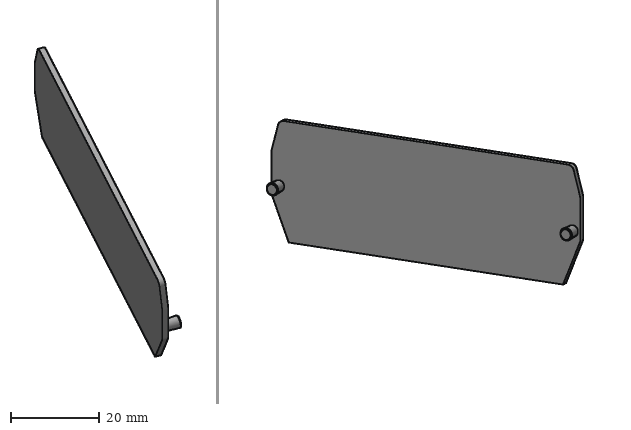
import cadquery as cq

plate_width = 79.3
plate_height = 28.58
plate_thickness = 1.5
bottom_width = 70.4
top_corner_span = 75.3
upper_slant_height = 7.45
lower_slant_height = 10.96
side_corner_radius = 2.0
top_corner_radius = 1.5

overall_depth = 4.9
pin_length = overall_depth - plate_thickness
pin_spacing = 75.4
pin_height = 13.1
pin_root_diameter = 2.7
pin_tip_diameter = 3.0
pin_tip_chamfer = 0.25


def make_plate():
    """Eight-sided plate with rounded side corners and rounded top corners."""
    upper_side_z = plate_height - upper_slant_height
    right_half = [
        (bottom_width / 2, 0),
        (plate_width / 2, lower_slant_height),
        (plate_width / 2, upper_side_z),
        (top_corner_span / 2, plate_height),
    ]
    left_half = [(-x, z) for x, z in reversed(right_half)]
    plate = (
        cq.Workplane("XZ")
        .polyline(right_half + left_half)
        .close()
        .extrude(-plate_thickness)
    )
    side_corners = plate.edges("|Y").edges(">X or <X")
    plate = side_corners.fillet(side_corner_radius)
    top_corners = plate.faces(">Z").edges("|Y")
    return top_corners.fillet(top_corner_radius)


def make_pin(x):
    """Pin along +Y, flaring from root to tip, with a chamfered tip."""
    root_radius = pin_root_diameter / 2
    tip_radius = pin_tip_diameter / 2
    profile = [
        (0, 0),
        (root_radius, 0),
        (tip_radius, pin_length - pin_tip_chamfer),
        (tip_radius - pin_tip_chamfer, pin_length),
        (0, pin_length),
    ]
    pin = cq.Workplane("XY").polyline(profile).close().revolve(360, (0, 0, 0), (0, 1, 0))
    return pin.translate((x, plate_thickness, pin_height))


result = make_plate()
for side in (-1, 1):
    result = result.union(make_pin(side * pin_spacing / 2))